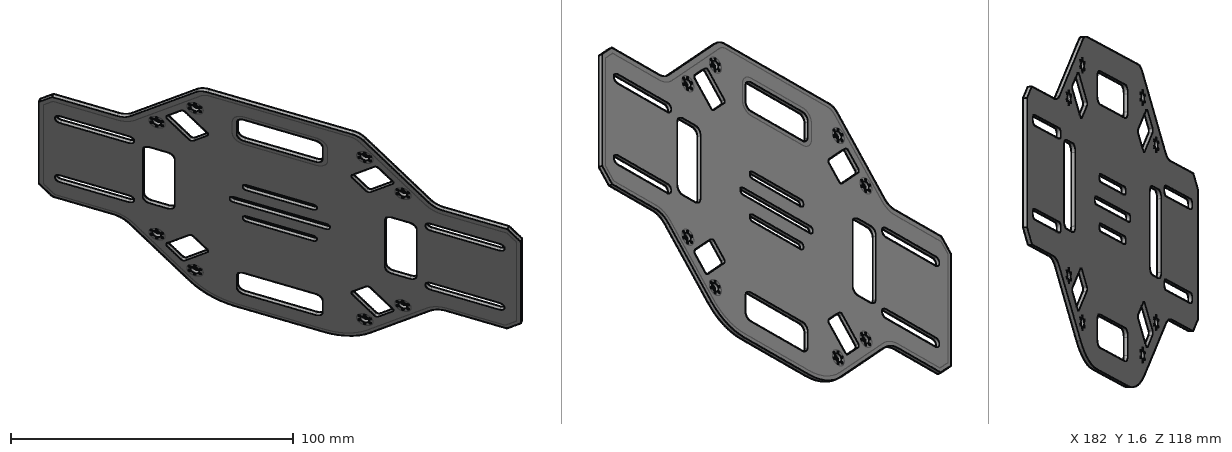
import cadquery as cq
import math

thickness = 1.6
half_width = 91.0

upper_half = {"edge": 57.5, "wing": 29.0, "shoulder_reach": 87.4, "tip_reach": 114.8,
              "edge_radius": 6.4, "root_radius": 7.3}
lower_half = {"edge": 60.5, "wing": 28.0, "shoulder_reach": 87.4, "tip_reach": 113.8,
              "edge_radius": 24.5, "root_radius": 9.1}

border = 1.73
upper_shoulder_border = 2.2
inlay_depth = thickness / 2

window_length = 32.4
window_width = 12.0
window_radius = 2.7
side_window_length = 32.0
side_window_x = 45.7
upper_window_z = 41.7
lower_window_z = -46.0
window_border = 1.8

tilted_length = 14.0
tilted_width = 9.6
tilted_radius = 1.1
tilted_offset = 35.0

slot_centre_z = 0.4
wing_slot_length = 29.8
wing_slot_width = 3.8
wing_slot_x = 69.9
wing_slot_z = 17.0
vent_length = 28.0
middle_vent_length = 37.9
vent_width = 3.0
vent_pitch = 9.0

screw_near = 32.0
screw_far = 46.5
screw_diameter = 3.3
pad_diameter = 6.2
via_count = 6
via_diameter = 0.7
via_circle_radius = 2.4


def front_plane():
    """Front face with local x along X and local y along Z; a negative extrusion goes into the plate."""
    return cq.Workplane("XZ")


def half_corners(half, side, inset, shoulder_inset):
    """Corners (x, z, radius) of one left quarter, from the outer edge to the wing tip."""
    edge = half["edge"] - inset
    wing = half["wing"] - shoulder_inset
    shoulder_reach = half["shoulder_reach"] - shoulder_inset * math.sqrt(2)
    tip_reach = half["tip_reach"] - inset * math.sqrt(2)
    wing_end = half_width - inset
    return [
        (edge - shoulder_reach, side * edge, half["edge_radius"] - inset),
        (wing - shoulder_reach, side * wing, half["root_radius"] + shoulder_inset),
        (wing - tip_reach, side * wing, 0),
        (-wing_end, side * (tip_reach - wing_end), 0),
    ]


def rounded_polygon(corners):
    """Closed outline through the corners, each rounded by its own radius."""
    path = []
    for i, (x, z, radius) in enumerate(corners):
        corner = cq.Vector(x, z)
        to_last = (cq.Vector(*corners[i - 1][:2]) - corner).normalized()
        to_next = (cq.Vector(*corners[(i + 1) % len(corners)][:2]) - corner).normalized()
        half_angle = to_last.getAngle(to_next) / 2
        tangent_length = radius / math.tan(half_angle)
        bisector = (to_last + to_next).normalized()
        arc_gap = radius / math.sin(half_angle) - radius
        arc = [
            corner + to_last * tangent_length,
            corner + bisector * arc_gap,
            corner + to_next * tangent_length,
        ]
        path.append([point.toTuple()[:2] for point in arc])

    outline = front_plane().moveTo(*path[0][2])
    for (start, middle, end), corner in zip(path[1:] + path[:1], corners[1:] + corners[:1]):
        outline = outline.lineTo(*start)
        if corner[2] > 0:
            outline = outline.threePointArc(middle, end)
    return outline.close()


def plate_outline(inset, upper_shoulder_inset):
    upper = half_corners(upper_half, 1, inset, upper_shoulder_inset)
    lower = half_corners(lower_half, -1, inset, inset)
    left = upper + lower[::-1]
    right = [(-x, z, radius) for x, z, radius in reversed(left)]
    return rounded_polygon(left + right)


def rounded_block(x, z, length, width, radius, depth=thickness, angle=0):
    """Block behind the front face, length along X before it is turned by the angle."""
    block = front_plane().rect(length, width).extrude(-depth).edges("|Y").fillet(radius)
    return block.rotate((0, 0, 0), (0, -1, 0), angle).translate((x, 0, z))


def slot_cutter(x, z, length, width):
    return front_plane().center(x, z).slot2D(length, width).extrude(-thickness)


def cylinders(points, diameter, depth=thickness):
    return front_plane().pushPoints(points).circle(diameter / 2).extrude(-depth)


def outline_on_front(plate, inlay):
    """Leave the inlay's outline on the front face as the joint between two flush faces."""
    return plate.cut(inlay, clean=False).union(inlay, clean=False)


plate = plate_outline(0, 0).extrude(-thickness)
screw_points = []
for side_x in (-1, 1):
    for side_z in (-1, 1):
        screw_points.append((side_x * screw_near, side_z * screw_far))
        screw_points.append((side_x * screw_far, side_z * screw_near))

field = plate_outline(border, upper_shoulder_border).extrude(-inlay_depth)
window_frame = rounded_block(
    0,
    upper_window_z,
    window_length + 2 * window_border,
    window_width + 2 * window_border,
    window_radius + window_border,
    inlay_depth,
)
pads = cylinders(screw_points, pad_diameter, inlay_depth)
for inlay in (field, window_frame, pads):
    plate = outline_on_front(plate, inlay)

cutters = []
for z in (upper_window_z, lower_window_z):
    cutters.append(rounded_block(0, z, window_length, window_width, window_radius))
for side in (-1, 1):
    x = side * side_window_x
    cutters.append(rounded_block(x, slot_centre_z, window_width, side_window_length, window_radius))

for side_x in (-1, 1):
    for side_z in (-1, 1):
        cutters.append(
            rounded_block(
                side_x * tilted_offset,
                side_z * tilted_offset,
                tilted_length,
                tilted_width,
                tilted_radius,
                angle=45 * side_x * side_z,
            )
        )
        wing_z = slot_centre_z + side_z * wing_slot_z
        cutters.append(slot_cutter(side_x * wing_slot_x, wing_z, wing_slot_length, wing_slot_width))

for row, length in ((-1, vent_length), (0, middle_vent_length), (1, vent_length)):
    cutters.append(slot_cutter(0, slot_centre_z + row * vent_pitch, length, vent_width))

cutters.append(cylinders(screw_points, screw_diameter))
via_points = []
for x, z in screw_points:
    for i in range(via_count):
        angle = math.pi / 2 + i * 2 * math.pi / via_count
        via_x = x + via_circle_radius * math.cos(angle)
        via_z = z + via_circle_radius * math.sin(angle)
        via_points.append((via_x, via_z))
cutters.append(cylinders(via_points, via_diameter))

for cutter in cutters:
    plate = plate.cut(cutter, clean=False)

result = plate